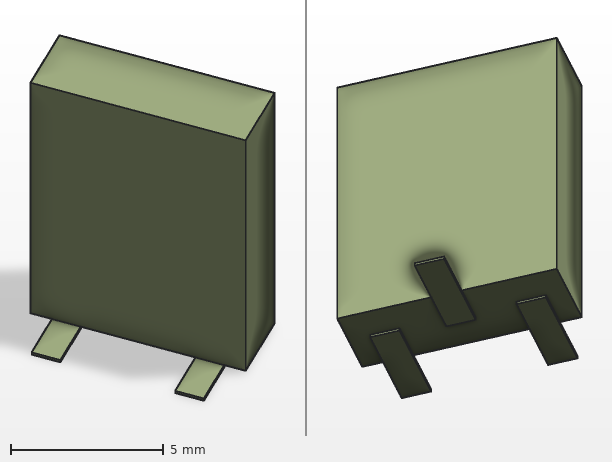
import cadquery as cq

housing_length = 7.62
housing_depth = 2.54
overall_height = 10.2

lead_width = 1.02
lead_thickness = 0.1
lead_pitch = 2.54
overall_depth = 6.1
lead_overrun = 0.15

housing_height = overall_height - lead_thickness
lead_tip = overall_depth / 2


def make_housing():
    """Plain block that stands on top of the leads."""
    return (
        cq.Workplane("XY")
        .workplane(offset=lead_thickness)
        .rect(housing_length, housing_depth)
        .extrude(housing_height)
    )


def make_lead(x_center, direction):
    """Flat strip whose free tip points to +Y (direction 1) or -Y (direction -1)."""
    return (
        cq.Workplane("XY")
        .center(x_center, direction * (lead_tip - lead_overrun) / 2)
        .rect(lead_width, lead_tip + lead_overrun)
        .extrude(lead_thickness)
    )


housing = make_housing()

leads = []
for position in (-1, 0, 1):
    direction = 1 if position == 0 else -1
    leads.append(make_lead(position * lead_pitch, direction))

result = cq.Compound.makeCompound([housing.val(), *[lead.val() for lead in leads]])